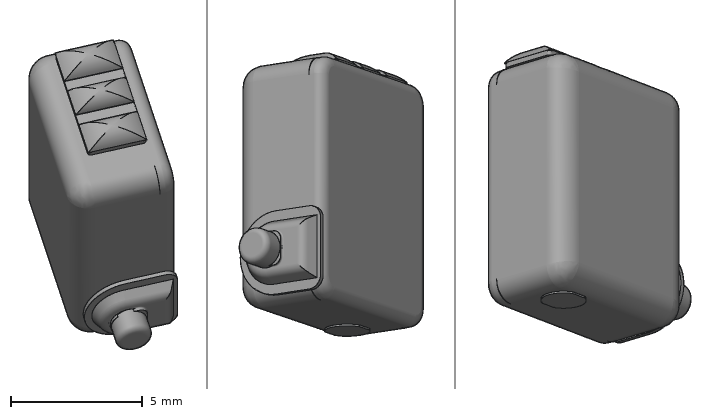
import cadquery as cq

HOUSING_WIDTH = 7.12
HOUSING_DEPTH = 4.06
HOUSING_BOTTOM = 0.07
HOUSING_TOP = 9.48
HOUSING_HEIGHT = HOUSING_TOP - HOUSING_BOTTOM
BACK_SECTION_DEPTH = 0.65
SECTION_Y = HOUSING_DEPTH - BACK_SECTION_DEPTH
FRONT_CORNER_RADIUS = 0.74
BACK_CORNER_RADIUS = 0.78
FRONT_EDGE_RADIUS = 0.87
BACK_EDGE_RADIUS = 0.42

PAD_LEFT = 0.45
PAD_LENGTH = 4.78
PAD_WIDTH = 2.3
PAD_THICKNESS = 0.17
PAD_CORNER_RADIUS = 0.13
PAD_TOP = HOUSING_TOP + PAD_THICKNESS
PAD_CENTER_X = PAD_LEFT + PAD_LENGTH / 2
PAD_CENTER_Y = SECTION_Y - PAD_WIDTH / 2
OUTER_DOME_LENGTH = 1.35
MIDDLE_DOME_LENGTH = 1.15
DOME_PITCH = (PAD_LENGTH - OUTER_DOME_LENGTH) / 2
DOME_WALL = 0.03
DOME_TOP = 10.13
CROWN_HEIGHT = DOME_TOP - PAD_TOP - DOME_WALL

SOCKET_Z = 1.91
FLANGE_THICKNESS = 0.17
FLANGE_RADIUS = 1.62
FLANGE_CENTER_Y = 2.02
FLANGE_CORNER_RADIUS = 0.52
BOSS_RADIUS = 1.23
BOSS_CENTER_Y = 1.91
BOSS_BACK_Y = 3.89
BOSS_LENGTH = 0.55
BOSS_DRAFT = 27
BOSS_EDGE_RADIUS = 0.36
NECK_RADIUS = 0.67
NECK_BACK_Y = 2.69
NECK_CORNER_RADIUS = 0.34
NECK_LENGTH = 0.13
NECK_FLARE_RADIUS = 0.05
FLANGE_FACE_X = HOUSING_WIDTH + FLANGE_THICKNESS
BOSS_FACE_X = FLANGE_FACE_X + BOSS_LENGTH

PIN_RADIUS = 0.7
PIN_CENTER_Y = 1.97
PIN_TIP_X = 8.83
PIN_TIP_RADIUS = 0.23

FOOT_X = 1.7
FOOT_Y = 1.54
FOOT_RADIUS = 0.86
FOOT_ACROSS_FLATS = 1.58


def housing_section(y_start, y_end, corner_radius):
    """Slice of the housing between two Y positions, whose four edges along Y are rounded."""
    return (
        cq.Workplane("XY")
        .box(HOUSING_WIDTH, y_end - y_start, HOUSING_HEIGHT, centered=False)
        .translate((0, y_start, HOUSING_BOTTOM))
        .edges("|Y")
        .fillet(corner_radius)
    )


def make_housing():
    front = housing_section(0, SECTION_Y, FRONT_CORNER_RADIUS)
    front = front.faces("<Y").edges().fillet(FRONT_EDGE_RADIUS)
    back = housing_section(SECTION_Y, HOUSING_DEPTH, BACK_CORNER_RADIUS)
    back = back.faces(">Y").edges().fillet(BACK_EDGE_RADIUS)
    return front.union(back)


def crown_profile(plane, length, depth):
    """Bar with a straight wall and an arched top, centered on the origin of the plane."""
    half = length / 2
    return (
        cq.Workplane(plane)
        .moveTo(-half, 0)
        .lineTo(half, 0)
        .lineTo(half, DOME_WALL)
        .threePointArc((0, DOME_WALL + CROWN_HEIGHT), (-half, DOME_WALL))
        .close()
        .extrude(depth / 2, both=True)
    )


def make_dome(length):
    """Cushion where an arch across X meets an arch across Y."""
    arch_along_x = crown_profile("XZ", length, PAD_WIDTH)
    arch_along_y = crown_profile("YZ", PAD_WIDTH, length)
    return arch_along_x.intersect(arch_along_y)


def make_button_pad():
    pad = (
        cq.Workplane("XY", origin=(PAD_CENTER_X, PAD_CENTER_Y, HOUSING_TOP))
        .rect(PAD_LENGTH, PAD_WIDTH)
        .extrude(PAD_THICKNESS)
        .edges("|Z")
        .fillet(PAD_CORNER_RADIUS)
    )
    for step, length in ((-1, OUTER_DOME_LENGTH), (0, MIDDLE_DOME_LENGTH), (1, OUTER_DOME_LENGTH)):
        dome_x = PAD_CENTER_X + step * DOME_PITCH
        pad = pad.union(make_dome(length).translate((dome_x, PAD_CENTER_Y, PAD_TOP)))
    return pad


def arch_outline(x, center_y, radius, back_y):
    """Closed outline in a plane across X: a half circle at the front, squared off at the back."""
    return (
        cq.Workplane("YZ", origin=(x, center_y, SOCKET_Z))
        .moveTo(back_y - center_y, -radius)
        .lineTo(back_y - center_y, radius)
        .lineTo(0, radius)
        .threePointArc((-radius, 0), (0, -radius))
        .close()
    )


def make_flange():
    return (
        arch_outline(HOUSING_WIDTH, FLANGE_CENTER_Y, FLANGE_RADIUS, HOUSING_DEPTH)
        .extrude(FLANGE_THICKNESS)
        .edges("|X and >Y")
        .fillet(FLANGE_CORNER_RADIUS)
    )


def make_boss_with_neck():
    boss = (
        arch_outline(FLANGE_FACE_X, BOSS_CENTER_Y, BOSS_RADIUS, BOSS_BACK_Y)
        .extrude(BOSS_LENGTH, taper=BOSS_DRAFT)
        .faces(">X")
        .edges()
        .fillet(BOSS_EDGE_RADIUS)
    )
    neck = (
        arch_outline(BOSS_FACE_X, BOSS_CENTER_Y, NECK_RADIUS, NECK_BACK_Y)
        .extrude(NECK_LENGTH)
        .edges("|X and >Y")
        .fillet(NECK_CORNER_RADIUS)
    )
    joined = boss.union(neck)
    boss_face = joined.faces("|X").faces(">X[-2]").val()
    neck_root = boss_face.innerWires()[0].Edges()
    return joined.newObject(neck_root).fillet(NECK_FLARE_RADIUS)


def make_socket(pin):
    """Flange, boss and neck in one, with the neck hollowed to hold the pin."""
    return make_flange().union(make_boss_with_neck()).cut(pin)


def make_pin():
    return (
        cq.Workplane("YZ", origin=(BOSS_FACE_X, PIN_CENTER_Y, SOCKET_Z))
        .circle(PIN_RADIUS)
        .extrude(PIN_TIP_X - BOSS_FACE_X)
        .faces(">X")
        .edges()
        .fillet(PIN_TIP_RADIUS)
    )


def make_foot():
    disc = cq.Workplane("XY", origin=(FOOT_X, FOOT_Y, 0)).circle(FOOT_RADIUS).extrude(HOUSING_BOTTOM)
    flats = (
        cq.Workplane("XY", origin=(FOOT_X, FOOT_Y, 0))
        .rect(2 * FOOT_RADIUS, FOOT_ACROSS_FLATS)
        .extrude(HOUSING_BOTTOM)
    )
    return disc.intersect(flats)


housing = make_housing()
button_pad = make_button_pad()
pin = make_pin()
socket = make_socket(pin)
foot = make_foot()

result = cq.Compound.makeCompound(
    [housing.val(), button_pad.val(), socket.val(), pin.val(), foot.val()]
)